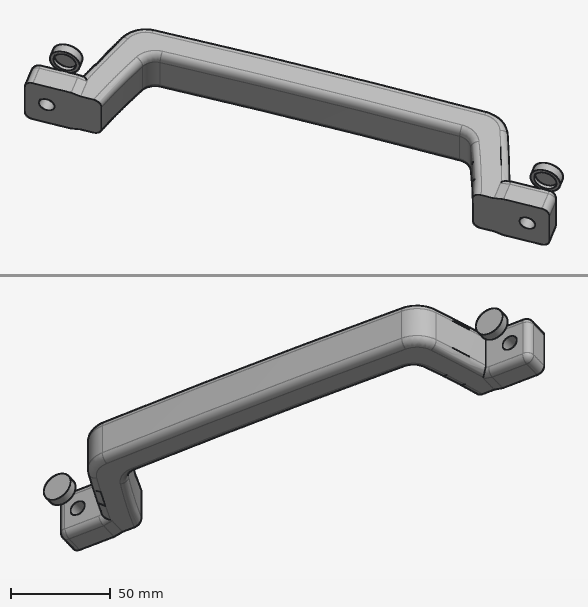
import cadquery as cq
import math

LENGTH = 276.0
DEPTH = 55.8
FOOT_WIDTH = 28.0
GRIP_WIDTH = 25.7
HALF_LENGTH = LENGTH / 2

OUTER_BASE_X = 117.0
OUTER_CORNER_X = 98.0
INNER_BASE_X = 97.7
INNER_CORNER_X = 84.2
CROWN_RISE = 1.0
INNER_CROWN_Y = 37.5
INNER_RISE = 0.8
LEG_BULGE = 0.5
OUTER_CORNER_RADIUS = 15.5
INNER_CORNER_RADIUS = 8.3
GRIP_EDGE_RADIUS = 4.1

FOOT_HEIGHT = 14.4
FOOT_STEP_X = 113.7
FOOT_TAPER_LENGTH = 5.0
FOOT_OVERLAP = 3.5
FOOT_END_RADIUS = 4.1
FOOT_RIM_RADIUS = 4.0
SCREW_X = 126.5
SCREW_HOLE_DIAMETER = 8.3

CAP_DIAMETER = 15.7
CAP_THICKNESS = 5.0
CAP_BASE_Y = 29.3
CAP_WALL = 2.0
CAP_RECESS_DEPTH = 2.2


def bowed_middle(start, end, bulge):
    """Middle point of an arc that bows to the left of the line from start to end."""
    dx = end[0] - start[0]
    dy = end[1] - start[1]
    chord = math.hypot(dx, dy)
    middle_x = (start[0] + end[0]) / 2 - bulge * dy / chord
    middle_y = (start[1] + end[1]) / 2 + bulge * dx / chord
    return (middle_x, middle_y)


def mirrored(point):
    """The same point on the other side of the YZ plane."""
    return (-point[0], point[1])


def make_grip():
    """Bowed bar on two curved legs, with all its long edges rounded."""
    outer_base = (-OUTER_BASE_X, 0)
    outer_corner = (-OUTER_CORNER_X, DEPTH - CROWN_RISE)
    inner_base = (-INNER_BASE_X, 0)
    inner_corner = (-INNER_CORNER_X, INNER_CROWN_Y - INNER_RISE)
    outer_bow = bowed_middle(outer_base, outer_corner, LEG_BULGE)
    inner_bow = bowed_middle(inner_base, inner_corner, LEG_BULGE)

    grip = (
        cq.Workplane("XY")
        .moveTo(*outer_base)
        .threePointArc(outer_bow, outer_corner)
        .threePointArc((0, DEPTH), mirrored(outer_corner))
        .threePointArc(mirrored(outer_bow), mirrored(outer_base))
        .lineTo(*mirrored(inner_base))
        .threePointArc(mirrored(inner_bow), mirrored(inner_corner))
        .threePointArc((0, INNER_CROWN_Y), inner_corner)
        .threePointArc(inner_bow, inner_base)
        .close()
        .extrude(GRIP_WIDTH / 2, both=True)
    )
    inner_corners = (
        grip.edges("|Z").edges("not <Y").filter(lambda edge: edge.Center().y < INNER_CROWN_Y)
    )
    grip = inner_corners.fillet(INNER_CORNER_RADIUS)
    outer_corners = grip.edges("|Z").filter(lambda edge: edge.Center().y > INNER_CROWN_Y)
    grip = outer_corners.fillet(OUTER_CORNER_RADIUS)
    long_edges = grip.faces("<Z or >Z").edges("not <Y")
    return long_edges.fillet(GRIP_EDGE_RADIUS)


def make_foot():
    """Left foot: a rounded block whose width tapers down to the leg."""
    half_foot = FOOT_WIDTH / 2
    half_grip = GRIP_WIDTH / 2
    taper_end_x = -FOOT_STEP_X + FOOT_TAPER_LENGTH
    inner_end_x = taper_end_x + FOOT_OVERLAP
    foot = (
        cq.Workplane("XZ")
        .polyline([
            (-HALF_LENGTH, -half_foot),
            (-FOOT_STEP_X, -half_foot),
            (taper_end_x, -half_grip),
            (inner_end_x, -half_grip),
            (inner_end_x, half_grip),
            (taper_end_x, half_grip),
            (-FOOT_STEP_X, half_foot),
            (-HALF_LENGTH, half_foot),
        ])
        .close()
        .extrude(-FOOT_HEIGHT)
    )
    foot = foot.edges("|Y and <X").fillet(FOOT_END_RADIUS)
    rim = foot.faces(">Y").edges("not >X")
    return rim.fillet(FOOT_RIM_RADIUS)


def make_handle():
    """Grip with a foot at each end and a screw hole through each foot."""
    foot = make_foot()
    screw_holes = (
        cq.Workplane("XZ")
        .pushPoints([(-SCREW_X, 0), (SCREW_X, 0)])
        .circle(SCREW_HOLE_DIAMETER / 2)
        .extrude(-FOOT_HEIGHT)
    )
    return make_grip().union(foot).union(foot.mirror("YZ")).cut(screw_holes)


def make_cap(x):
    """Round screw cap, hollow on the side that faces the foot."""
    cap_plane = cq.Workplane("XZ", origin=(x, CAP_BASE_Y, 0))
    cap = cap_plane.circle(CAP_DIAMETER / 2).extrude(-CAP_THICKNESS)
    recess = cap_plane.circle(CAP_DIAMETER / 2 - CAP_WALL).extrude(-CAP_RECESS_DEPTH)
    return cap.cut(recess)


handle = make_handle()
caps = [make_cap(x) for x in (-SCREW_X, SCREW_X)]

result = cq.Compound.makeCompound([handle.val(), *[cap.val() for cap in caps]])